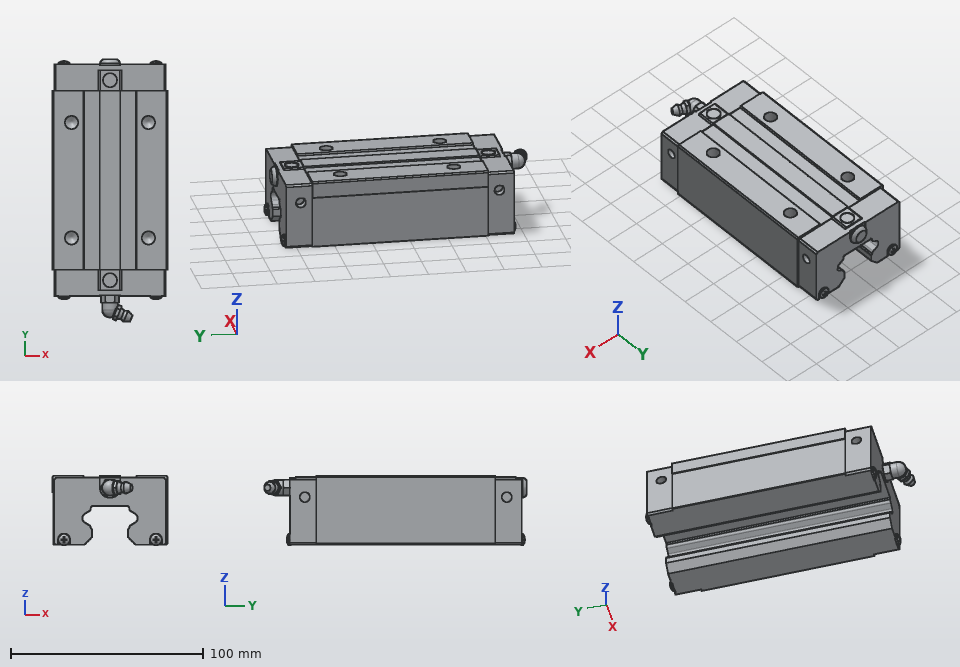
import cadquery as cq
import math

BLOCK_WIDTH = 60.0
BLOCK_LENGTH = 93.0
HEIGHT = 36.0
BLOCK_CHAMFER = 0.8

PAD_INNER_X = 14.0
GROOVE_FLOOR_HALF_WIDTH = 13.4
GROOVE_DEPTH = 0.9
STRIP_HALF_WIDTH = 5.35
REFERENCE_FACE_BOTTOM = 27.3
SIDE_RELIEF = 0.5

HOLE_DIAMETER = 6.9
HOLE_DEPTH = 12.0
HOLE_PITCH_X = 40.0
HOLE_PITCH_Y = 60.0
DRILL_POINT_ANGLE = 118.0

CAP_WIDTH = 58.2
CAP_HEIGHT = 34.8
CAP_CHAMFER = 1.0
CAP_LENGTH = 10.6
PLATE_THICKNESS = 3.2
CAP_STRIP_TOP = 35.5
CAP_STRIP_FOOT_HALF_WIDTH = 6.0
CAP_STRIP_TOP_HALF_WIDTH = 5.15
OIL_RECESS_DIAMETER = 7.3
OIL_RECESS_DEPTH = 0.4
OIL_RECESS_Y = 52.0
SIDE_HOLE_DIAMETER = 5.2
SIDE_HOLE_DEPTH = 5.0
SIDE_HOLE_Y = 52.5
SIDE_HOLE_Z = 24.8

PORT_Z = 29.7
PORT_RADIUS = 5.3
PORT_POCKET_DEPTH = 0.5

RAIL_TOP_Z = 20.1
RAIL_TOP_CHAMFER = 0.7
RAIL_MOUTH_HALF_WIDTH = 13.3
RAIL_LIP_HALF_WIDTH = 9.25
RAIL_LIP_TOP_Z = 8.0
RAIL_NECK_HALF_WIDTH = 10.0

BALL_GROOVE_Z = 13.85
BALL_GROOVE_HALF_WIDTH = 14.3
BALL_GROOVE_FLANK_X = 13.3
BALL_GROOVE_FLANK_RISE = 2.1
BALL_GROOVE_MOUTH_RISE = 4.1
BALL_GROOVE_MOUTH_RADIUS = 1.5

SCREW_X = 23.9
SCREW_Z = 2.7
SCREW_RADIUS = 3.0
SCREW_RIM_HEIGHT = 0.6
SCREW_HEAD_HEIGHT = 1.7
SCREW_NOTCH_HALF_WIDTH = 3.15
SCREW_NOTCH_DEPTH = 0.4
CROSS_LENGTH = 3.0
CROSS_WIDTH = 0.6
CROSS_DEPTH = 0.8

HEX_ACROSS_FLATS = 8.3
HEX_LENGTH = 4.0
HEX_CORNER_CHAMFER = 0.4
ELBOW_RADIUS = 4.1
ELBOW_STRAIGHT_LENGTH = 3.5
SPOUT_ANGLE = 22.5

COLLAR_ACROSS_FLATS = 7.0
COLLAR_START = 3.1
COLLAR_END = 5.0
SHANK_RADIUS = 3.2
NECK_POSITION = 7.1
NECK_RADIUS = 2.4
HEAD_POSITION = 8.9
HEAD_RADIUS = 3.14
TIP_POSITION = 12.0
TIP_RADIUS = 1.7

PLUG_HEIGHT = 2.6
PLUG_RIM_HEIGHT = 0.4
PLUG_TOP_RADIUS = 3.6
PLUG_SHOULDER_RADIUS = 4.75
PLUG_SHOULDER_HEIGHT = 1.6

HEX_APOTHEM_RATIO = math.cos(math.pi / 6)
CAP_INNER_Y = BLOCK_LENGTH / 2
PLATE_INNER_Y = CAP_INNER_Y + CAP_LENGTH
END_Y = PLATE_INNER_Y + PLATE_THICKNESS
PORT_FLOOR_Y = END_Y - PORT_POCKET_DEPTH


def extrude_y(sketch, y_start, y_end):
    """Extrude a closed XZ-plane outline from y_start to y_end."""
    return sketch.extrude(-(y_end - y_start)).translate((0, y_start, 0))


def revolve_profile(points):
    """Revolve (radius, axial) points about +Y."""
    return cq.Workplane("XY").polyline(points).close().revolve(360, (0, 0), (0, 1))


def chamfered_bar(width, height, chamfer, y_start, y_end):
    """Bar standing on Z = 0 with its four long edges chamfered."""
    outline = cq.Workplane("XZ").center(0, height / 2).rect(width, height)
    return extrude_y(outline, y_start, y_end).edges("|Y").chamfer(chamfer)


def trapezoid(bottom_half_width, bottom_z, top_half_width, top_z, y_start, y_end):
    """Bar along Y with a symmetric trapezoid section."""
    outline = (
        cq.Workplane("XZ")
        .moveTo(-bottom_half_width, bottom_z)
        .lineTo(bottom_half_width, bottom_z)
        .lineTo(top_half_width, top_z)
        .lineTo(-top_half_width, top_z)
        .close()
    )
    return extrude_y(outline, y_start, y_end)


def mounting_hole():
    """Blind hole from the top face, with a drill point, on the Z axis."""
    radius = HOLE_DIAMETER / 2
    point_length = radius / math.tan(math.radians(DRILL_POINT_ANGLE / 2))
    return (
        cq.Workplane("XZ")
        .moveTo(0, HEIGHT)
        .lineTo(radius, HEIGHT)
        .lineTo(radius, HEIGHT - HOLE_DEPTH)
        .lineTo(0, HEIGHT - HOLE_DEPTH - point_length)
        .close()
        .revolve(360, (0, 0), (0, 1))
    )


def make_block():
    """Steel block with pads, middle strip, side relief and mounting holes."""
    half_length = BLOCK_LENGTH / 2
    groove_floor = HEIGHT - GROOVE_DEPTH
    block = chamfered_bar(BLOCK_WIDTH, HEIGHT, BLOCK_CHAMFER, -half_length, half_length)

    grooves = trapezoid(
        GROOVE_FLOOR_HALF_WIDTH, groove_floor, PAD_INNER_X, HEIGHT, -half_length, half_length
    )
    strip = trapezoid(
        STRIP_HALF_WIDTH, groove_floor, STRIP_HALF_WIDTH, HEIGHT, -half_length, half_length
    )
    block = block.cut(grooves.cut(strip))

    relief = cq.Workplane("XY").box(
        SIDE_RELIEF, BLOCK_LENGTH, REFERENCE_FACE_BOTTOM, centered=(False, True, False)
    )
    block = block.cut(relief.translate((-BLOCK_WIDTH / 2, 0, 0)))

    for x in (-HOLE_PITCH_X / 2, HOLE_PITCH_X / 2):
        for y in (-HOLE_PITCH_Y / 2, HOLE_PITCH_Y / 2):
            block = block.cut(mounting_hole().translate((x, y, 0)))
    return block


def port_pocket():
    """Pocket open at the top, with a round bottom, in the +Y seal plate."""
    outline = (
        cq.Workplane("XZ")
        .moveTo(-PORT_RADIUS, HEIGHT)
        .lineTo(-PORT_RADIUS, PORT_Z)
        .threePointArc((0, PORT_Z - PORT_RADIUS), (PORT_RADIUS, PORT_Z))
        .lineTo(PORT_RADIUS, HEIGHT)
        .close()
    )
    return extrude_y(outline, PORT_FLOOR_Y, END_Y)


def screw_notch():
    """Shallow pocket under one screw head, open at the bottom."""
    outline = (
        cq.Workplane("XZ")
        .moveTo(-SCREW_NOTCH_HALF_WIDTH, 0)
        .lineTo(-SCREW_NOTCH_HALF_WIDTH, SCREW_Z)
        .threePointArc((0, SCREW_Z + SCREW_NOTCH_HALF_WIDTH), (SCREW_NOTCH_HALF_WIDTH, SCREW_Z))
        .lineTo(SCREW_NOTCH_HALF_WIDTH, 0)
        .close()
    )
    return extrude_y(outline, END_Y - SCREW_NOTCH_DEPTH, END_Y)


def make_screw():
    """Domed cross-recess screw head facing +Y, seated in its notch."""
    dome_rise = SCREW_HEAD_HEIGHT - SCREW_RIM_HEIGHT
    dome_radius = (SCREW_RADIUS**2 + dome_rise**2) / (2 * dome_rise)
    half_angle = math.asin(SCREW_RADIUS / dome_radius) / 2
    dome_middle = (
        dome_radius * math.sin(half_angle),
        SCREW_HEAD_HEIGHT - dome_radius * (1 - math.cos(half_angle)),
    )
    head = (
        cq.Workplane("XY")
        .moveTo(0, -SCREW_NOTCH_DEPTH)
        .lineTo(SCREW_RADIUS, -SCREW_NOTCH_DEPTH)
        .lineTo(SCREW_RADIUS, SCREW_RIM_HEIGHT)
        .threePointArc(dome_middle, (0, SCREW_HEAD_HEIGHT))
        .close()
        .revolve(360, (0, 0), (0, 1))
    )
    recess_y = SCREW_HEAD_HEIGHT - CROSS_DEPTH / 2
    for length_x, length_z in ((CROSS_LENGTH, CROSS_WIDTH), (CROSS_WIDTH, CROSS_LENGTH)):
        bar = cq.Workplane("XY").box(length_x, CROSS_DEPTH, length_z)
        head = head.cut(bar.translate((0, recess_y, 0)))
    return head


def make_end():
    """End cap and seal plate of the +Y end, with screws."""
    end = chamfered_bar(CAP_WIDTH, CAP_HEIGHT, CAP_CHAMFER, CAP_INNER_Y, END_Y)
    end = end.union(
        trapezoid(
            CAP_STRIP_FOOT_HALF_WIDTH,
            CAP_HEIGHT,
            CAP_STRIP_TOP_HALF_WIDTH,
            CAP_STRIP_TOP,
            CAP_INNER_Y,
            PLATE_INNER_Y,
        )
    )
    oil_recess = cq.Workplane("XY").circle(OIL_RECESS_DIAMETER / 2).extrude(OIL_RECESS_DEPTH)
    end = end.cut(oil_recess.translate((0, OIL_RECESS_Y, CAP_STRIP_TOP - OIL_RECESS_DEPTH)))

    side_hole = cq.Workplane("YZ").circle(SIDE_HOLE_DIAMETER / 2).extrude(SIDE_HOLE_DEPTH)
    for x in (-CAP_WIDTH / 2, CAP_WIDTH / 2 - SIDE_HOLE_DEPTH):
        end = end.cut(side_hole.translate((x, SIDE_HOLE_Y, SIDE_HOLE_Z)))

    end = end.cut(port_pocket())
    for x in (-SCREW_X, SCREW_X):
        end = end.cut(screw_notch().translate((x, 0, 0)))
        end = end.union(make_screw().translate((x, END_Y, SCREW_Z)))
    return end


def rail_opening():
    """Stepped opening with a ball-row groove on each side, along the whole length."""
    lip_bottom_z = RAIL_MOUTH_HALF_WIDTH - RAIL_LIP_HALF_WIDTH
    lip_step = RAIL_NECK_HALF_WIDTH - RAIL_LIP_HALF_WIDTH
    half_outline = (
        cq.Workplane("XZ")
        .moveTo(0, 0)
        .lineTo(RAIL_MOUTH_HALF_WIDTH, 0)
        .lineTo(RAIL_LIP_HALF_WIDTH, lip_bottom_z)
        .lineTo(RAIL_LIP_HALF_WIDTH, RAIL_LIP_TOP_Z)
        .lineTo(RAIL_NECK_HALF_WIDTH, RAIL_LIP_TOP_Z + lip_step)
        .lineTo(RAIL_NECK_HALF_WIDTH, BALL_GROOVE_Z - BALL_GROOVE_MOUTH_RISE)
        .lineTo(BALL_GROOVE_FLANK_X, BALL_GROOVE_Z - BALL_GROOVE_FLANK_RISE)
        .threePointArc(
            (BALL_GROOVE_HALF_WIDTH, BALL_GROOVE_Z),
            (BALL_GROOVE_FLANK_X, BALL_GROOVE_Z + BALL_GROOVE_FLANK_RISE),
        )
        .lineTo(RAIL_NECK_HALF_WIDTH, BALL_GROOVE_Z + BALL_GROOVE_MOUTH_RISE)
        .lineTo(RAIL_NECK_HALF_WIDTH, RAIL_TOP_Z - RAIL_TOP_CHAMFER)
        .lineTo(RAIL_NECK_HALF_WIDTH - RAIL_TOP_CHAMFER, RAIL_TOP_Z)
        .lineTo(0, RAIL_TOP_Z)
        .close()
    )
    half = extrude_y(half_outline, -END_Y, END_Y)
    for rise in (-BALL_GROOVE_MOUTH_RISE, BALL_GROOVE_MOUTH_RISE):
        mouth_corner = cq.NearestToPointSelector((RAIL_NECK_HALF_WIDTH, 0, BALL_GROOVE_Z + rise))
        half = half.edges(mouth_corner).fillet(BALL_GROOVE_MOUTH_RADIUS)
    return half.union(half.mirror("YZ"))


def make_plug():
    """Domed plug in the +Y port."""
    plug = (
        cq.Workplane("XY")
        .moveTo(0, PORT_FLOOR_Y)
        .lineTo(PORT_RADIUS, PORT_FLOOR_Y)
        .lineTo(PORT_RADIUS, END_Y + PLUG_RIM_HEIGHT)
        .threePointArc(
            (PLUG_SHOULDER_RADIUS, END_Y + PLUG_SHOULDER_HEIGHT),
            (PLUG_TOP_RADIUS, END_Y + PLUG_HEIGHT),
        )
        .lineTo(0, END_Y + PLUG_HEIGHT)
        .close()
        .revolve(360, (0, 0), (0, 1))
    )
    return plug.translate((0, 0, PORT_Z))


def hexagon(across_flats, length):
    """Hexagonal prism along +Y from Y = 0, with corners on +X and -X."""
    across_corners = across_flats / HEX_APOTHEM_RATIO
    return cq.Workplane("XZ").polygon(6, across_corners).extrude(-length)


def make_nipple():
    """Angled grease nipple, built along +Y and turned to the -Y port."""
    hex_corner_radius = HEX_ACROSS_FLATS / 2 / HEX_APOTHEM_RATIO
    chamfer_envelope = revolve_profile(
        [
            (0, 0),
            (hex_corner_radius, 0),
            (hex_corner_radius, HEX_LENGTH - HEX_CORNER_CHAMFER),
            (hex_corner_radius - HEX_CORNER_CHAMFER, HEX_LENGTH),
            (0, HEX_LENGTH),
        ]
    )
    elbow_y = HEX_LENGTH + ELBOW_STRAIGHT_LENGTH
    body = hexagon(HEX_ACROSS_FLATS, HEX_LENGTH).intersect(chamfer_envelope)
    body = body.union(cq.Workplane("XZ").circle(ELBOW_RADIUS).extrude(-elbow_y))
    body = body.union(cq.Workplane("XY").sphere(ELBOW_RADIUS).translate((0, elbow_y, 0)))

    collar = hexagon(COLLAR_ACROSS_FLATS, COLLAR_END - COLLAR_START).translate((0, COLLAR_START, 0))
    spout = revolve_profile(
        [
            (0, 0),
            (SHANK_RADIUS, 0),
            (SHANK_RADIUS, COLLAR_END),
            (NECK_RADIUS, NECK_POSITION),
            (HEAD_RADIUS, HEAD_POSITION),
            (TIP_RADIUS, TIP_POSITION),
            (0, TIP_POSITION),
        ]
    )
    spout = collar.union(spout).rotate((0, 0, 0), (0, 0, 1), 90 - SPOUT_ANGLE)
    body = body.union(spout.translate((0, elbow_y, 0)))
    return body.rotate((0, 0, 0), (0, 0, 1), 180).translate((0, -PORT_FLOOR_Y, PORT_Z))


result = make_block()
far_end = make_end()
result = result.union(far_end).union(far_end.mirror("XZ"))
result = result.cut(rail_opening()).union(make_plug()).union(make_nipple())